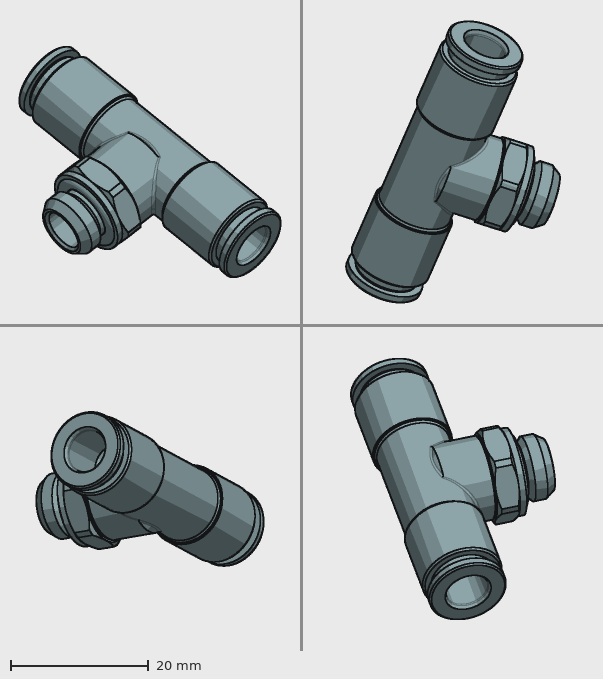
import cadquery as cq
import math

length = 42.8
half_length = length / 2
body_radius = 5.5
flare_radius = 5.75
flare_length = 0.4

sleeve_radius = 6.0
sleeve_start = 2.9
sleeve_end = 12.93
sleeve_outer_chamfer = 0.3
sleeve_inner_chamfer = 0.13

collar_radius = 5.78
collar_width = 1.25
collar_chamfer = 0.25
collar_neck_radius = 4.8
collar_neck_start_radius = 4.65
collar_neck_taper = 0.3

run_bore_radius = 2.5
tube_bore_radius = 3.12
tube_bore_depth = 8.55
tube_mouth_radius = 3.45
tube_lead_in = 0.65
tube_lead_in_round = 0.5

branch_radius = 6.25
branch_start = 0.43
branch_crown_chamfer = 1.0
branch_end = 8.35
root_fillet = 0.43

hex_start = 8.55
hex_end = 12.03
hex_flat_distance = 13.0
hex_corner_radius = 7.25
hex_face_radius = hex_flat_distance / 2
hex_chamfer = 0.45

relief_radius = 6.1
flange_radius = hex_face_radius
flange_end = 13.0
spigot_neck_radius = 4.0
seal_section_radius = 0.95
seal_ring_radius = spigot_neck_radius + seal_section_radius
seal_centre = 12.7
spigot_cone_start = 14.05
spigot_radius = 4.85
spigot_cone_end = 14.85
spigot_tip_start = 16.65
spigot_tip_radius = 3.9
spigot_end = 18.0

branch_bore_radius = 3.05
branch_lead_in = 0.43


def turned_about_x(points):
    """Solid turned about X from (x, radius) outline points."""
    return cq.Workplane("XY").polyline(points).close().revolve(360, (0, 0), (1, 0))


def turned_about_y(points):
    """Solid turned about Y from (distance along -Y, radius) outline points."""
    outline = [(radius, -distance) for distance, radius in points]
    return cq.Workplane("XY").polyline(outline).close().revolve(360, (0, 0), (0, 1))


def run_body():
    """Plain cylinder between the two sleeves."""
    half = half_length - sleeve_end
    return turned_about_x([(-half, 0), (-half, body_radius), (half, body_radius), (half, 0)])


def end_fitting():
    """Sleeve, release collar and flare at the -X end."""
    collar_end = -half_length + collar_width
    outer = -half_length + sleeve_start
    inner = -half_length + sleeve_end
    return turned_about_x([
        (-half_length, 0),
        (-half_length, collar_radius - collar_chamfer),
        (-half_length + collar_chamfer, collar_radius),
        (collar_end, collar_radius),
        (collar_end, collar_neck_start_radius),
        (collar_end + collar_neck_taper, collar_neck_radius),
        (outer, collar_neck_radius),
        (outer, sleeve_radius - sleeve_outer_chamfer),
        (outer + sleeve_outer_chamfer, sleeve_radius),
        (inner - sleeve_inner_chamfer, sleeve_radius),
        (inner, sleeve_radius - sleeve_inner_chamfer),
        (inner, flare_radius),
        (inner + flare_length, body_radius),
        (inner + flare_length, 0),
    ])


def branch_root():
    """Branch cylinder, its buried end chamfered at 45 degrees."""
    return turned_about_y([
        (branch_start, 0),
        (branch_start, branch_radius - branch_crown_chamfer),
        (branch_start + branch_crown_chamfer, branch_radius),
        (branch_end, branch_radius),
        (branch_end, 0),
    ])


def hexagon():
    """Hexagon with flats facing +Z and -Z, its corners turned down and both rims chamfered."""
    corner_diameter = hex_flat_distance / math.cos(math.pi / 6)
    prism = (
        cq.Workplane("XZ", origin=(0, -hex_start, 0))
        .polygon(6, corner_diameter)
        .extrude(hex_end - hex_start)
    )
    envelope = turned_about_y([
        (hex_start, 0),
        (hex_start, hex_face_radius),
        (hex_start + hex_chamfer, hex_corner_radius),
        (hex_end - hex_chamfer, hex_corner_radius),
        (hex_end, hex_face_radius),
        (hex_end, 0),
    ])
    return prism.intersect(envelope)


def spigot():
    """Relief behind the hexagon, flange, and the spigot with its undercut neck."""
    return turned_about_y([
        (branch_end, 0),
        (branch_end, relief_radius),
        (hex_end, relief_radius),
        (hex_end, flange_radius),
        (flange_end, flange_radius),
        (flange_end, spigot_neck_radius),
        (spigot_cone_start, spigot_neck_radius),
        (spigot_cone_end, spigot_radius),
        (spigot_tip_start, spigot_radius),
        (spigot_end, spigot_tip_radius),
        (spigot_end, 0),
    ])


def seal():
    """Round-section ring partly sunk in the flange face."""
    return (
        cq.Workplane("XY")
        .center(seal_ring_radius, -seal_centre)
        .circle(seal_section_radius)
        .revolve(360, (-seal_ring_radius, 0), (-seal_ring_radius, 1))
    )


def run_bore():
    """Through bore, widened at both ends for the tubes with conical shoulders and rounded lead-ins."""
    tube_end = half_length - tube_bore_depth
    shoulder = tube_bore_radius - run_bore_radius
    half = [
        (tube_end - shoulder, run_bore_radius),
        (tube_end, tube_bore_radius),
        (half_length - tube_lead_in, tube_bore_radius),
        (half_length, tube_mouth_radius),
        (half_length, 0),
    ]
    other_half = [(-x, radius) for x, radius in reversed(half)]
    bore = turned_about_x(other_half + half)
    for x in (half_length - tube_lead_in, tube_lead_in - half_length):
        bore = bore.edges(cq.selectors.NearestToPointSelector((x, 0, 0))).fillet(tube_lead_in_round)
    return bore


def branch_bore():
    """Bore from the spigot tip to the run axis, chamfered at its mouth."""
    return turned_about_y([
        (0, 0),
        (0, branch_bore_radius),
        (spigot_end - branch_lead_in, branch_bore_radius),
        (spigot_end, branch_bore_radius + branch_lead_in),
        (spigot_end, 0),
    ])


def tee():
    """Run and branch joined, with the seam between them rounded."""
    joined = run_body().union(branch_root())
    crossing = joined.edges("%BSPLINE")
    return crossing.fillet(root_fillet)


fitting = end_fitting()
result = (
    tee()
    .union(fitting)
    .union(fitting.mirror("YZ"))
    .union(hexagon())
    .union(spigot())
    .union(seal())
    .cut(run_bore())
    .cut(branch_bore())
)